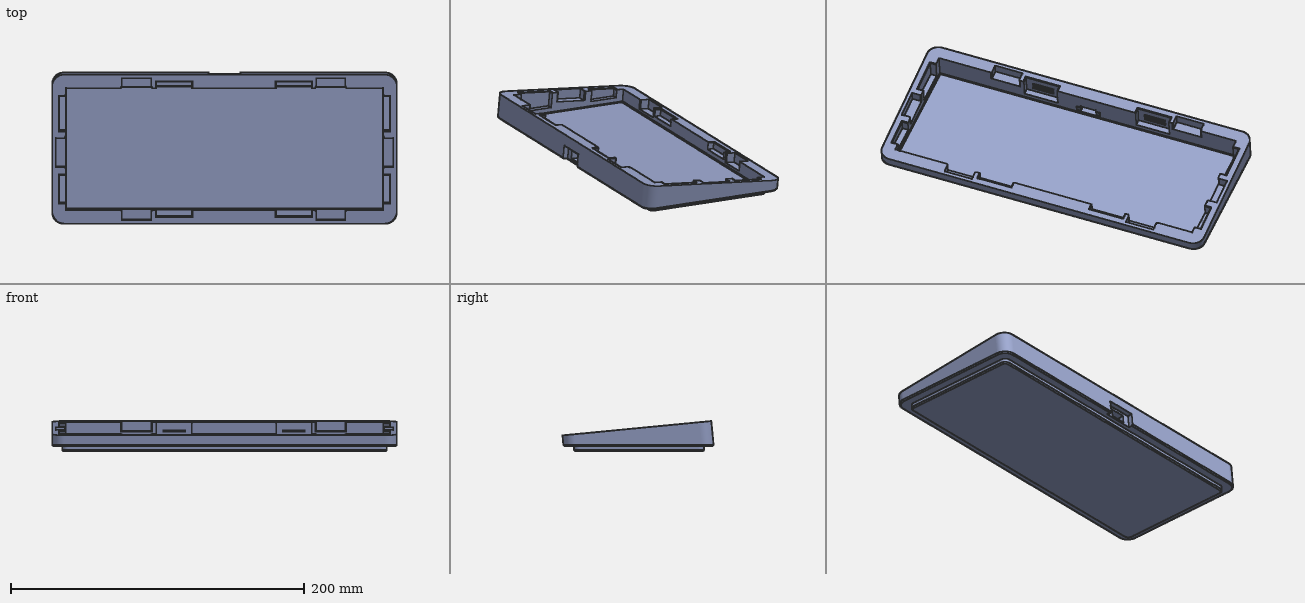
import cadquery as cq
import math

length = 235.0
width = 103.2
height = 20.7

slope = math.radians(5.5)
base_height = 3.5
frame_radius = 8.0
edge_chamfer = 1.0
wall_lean = (height - base_height - edge_chamfer) * math.tan(slope)
rim_width = (width - wall_lean) / math.cos(slope)
rim_plane = cq.Plane(
    origin=(0, -wall_lean / 2, height - rim_width * math.sin(slope) / 2),
    xDir=(1, 0, 0),
    normal=(0, -math.sin(slope), math.cos(slope)),
)
rim_half_x = length / 2
rim_half_v = rim_width / 2

plinth_half_x = 110.7
plinth_back_y = 45.1
plinth_front_y = -43.7
plinth_radius = 4.0

wall = 9.2
cavity_half_x = rim_half_x - wall
cavity_half_v = rim_half_v - wall
floor_z = 2.8
floor_chamfer = 0.59

tab_wall = 2.5
tab_depth = 6.5
tab_length = 20.0
tab_mouth_chamfer = 0.7
tab_centres_x = (-60.0, 72.4)
side_tab_centre_v = -2.4

clip_wall = 5.0
clip_depth = 13.2
clip_flare = 0.5
clip_floor_z = 6.5
clip_length = 24.2
clip_centres_x = (-34.3, 47.2)
side_clips = ((24.2, 23.7), (-27.3, 19.0))

groove_length = 15.0
groove_height = 1.0
groove_recess = 0.7
groove_depths = (6.3, 9.9)

port_width = 11.0
port_top = 9.9
port_bottom = 15.5
seat_width = 17.0
seat_top = 11.8
seat_recess = 0.7
plug_width = 21.6
plug_height = 10.0
plug_recess = 3.5


def sunk_box(x_range, v_range, bottom, top=0):
    """Box square to the rim plane, between two depths below it."""
    x0, x1 = x_range
    v0, v1 = v_range
    return (
        cq.Workplane(rim_plane)
        .workplane(offset=-bottom)
        .center((x0 + x1) / 2, (v0 + v1) / 2)
        .rect(x1 - x0, v1 - v0)
        .extrude(bottom - top)
    )


def around(centre, size):
    """Range of a given size about a centre."""
    return (centre - size / 2, centre + size / 2)


def above(z):
    """Half space above a horizontal level."""
    return cq.Workplane("XY", origin=(0, 0, z)).rect(2 * length, 2 * length).extrude(length)


def make_shell():
    """Solid frame on its plinth, hollowed by the cavity."""
    outline = cq.Sketch().rect(length, rim_width).vertices().fillet(frame_radius)
    frame = cq.Workplane(rim_plane).placeSketch(outline).extrude(-2 * height)
    frame = frame.intersect(above(base_height)).faces("<Z").chamfer(edge_chamfer)

    plinth = (
        cq.Workplane("XY")
        .center(0, (plinth_back_y + plinth_front_y) / 2)
        .rect(2 * plinth_half_x, plinth_back_y - plinth_front_y)
        .extrude(base_height)
        .edges("|Z")
        .fillet(plinth_radius)
        .faces("<Z")
        .chamfer(edge_chamfer)
    )

    cavity = sunk_box((-cavity_half_x, cavity_half_x), (-cavity_half_v, cavity_half_v), 2 * height)
    cavity = cavity.intersect(above(floor_z)).faces("<Z").chamfer(floor_chamfer)
    return frame.union(plinth).cut(cavity)


def make_mouth(centre, size_x, size_v):
    """Cutter over the cavity whose cut corners chamfer the mouths of a pair of tab pockets."""
    growth = 2 * tab_mouth_chamfer
    outline = cq.Sketch().rect(size_x + growth, size_v + growth).vertices().chamfer(tab_mouth_chamfer)
    return cq.Workplane(rim_plane).center(*centre).placeSketch(outline).extrude(-tab_depth)


def make_tab_pockets():
    """Tab pockets; each cutter spans the cavity to reach both opposite walls."""
    reach_x = rim_half_x - tab_wall
    reach_v = rim_half_v - tab_wall
    pockets = sunk_box((-reach_x, reach_x), around(side_tab_centre_v, tab_length), tab_depth)
    pockets = pockets.union(make_mouth((0, side_tab_centre_v), 2 * cavity_half_x, tab_length))
    for x in tab_centres_x:
        pockets = pockets.union(sunk_box(around(x, tab_length), (-reach_v, reach_v), tab_depth))
        pockets = pockets.union(make_mouth((x, 0), tab_length, 2 * cavity_half_v))
    return pockets


def make_clip_pocket(x_range, v_range):
    """Clip pocket cutter spanning the cavity, with a 45 degree flare around its top edge."""
    x0, x1 = x_range
    v0, v1 = v_range
    flare = (
        cq.Workplane(rim_plane)
        .center((x0 + x1) / 2, (v0 + v1) / 2)
        .rect(x1 - x0 + 2 * clip_flare, v1 - v0 + 2 * clip_flare)
        .extrude(-clip_flare, taper=45)
    )
    return sunk_box(x_range, v_range, clip_depth).union(flare)


def make_clip_pockets():
    """Clip pockets in all four walls, none deeper than the level clip floor."""
    reach_x = rim_half_x - clip_wall
    reach_v = rim_half_v - clip_wall
    pockets = cq.Workplane("XY")
    for centre_v, size in side_clips:
        pockets = pockets.add(make_clip_pocket((-reach_x, reach_x), around(centre_v, size)))
    for x in clip_centres_x:
        pockets = pockets.add(make_clip_pocket(around(x, clip_length), (-reach_v, reach_v)))
    return pockets.combine().intersect(above(clip_floor_z))


def make_catch_grooves():
    """Thin grooves cut into the back wall of the rear clip pockets."""
    wall_v = rim_half_v - clip_wall
    grooves = cq.Workplane("XY")
    for x in clip_centres_x:
        for depth in groove_depths:
            top, bottom = around(depth, groove_height)
            v_range = (cavity_half_v, wall_v + groove_recess)
            grooves = grooves.add(sunk_box(around(x, groove_length), v_range, bottom, top))
    return grooves.combine()


def make_cable_port():
    """Port through the back wall, with a connector seat inside and a plug recess outside, open below."""
    port = sunk_box(around(0, port_width), (cavity_half_v, rim_half_v), port_bottom, port_top)
    seat_range = (cavity_half_v, cavity_half_v + seat_recess)
    seat = sunk_box(around(0, seat_width), seat_range, port_bottom, seat_top)

    plug_top, plug_bottom = around((port_top + port_bottom) / 2, plug_height)
    plug_range = (rim_half_v - plug_recess, rim_half_v)
    plug = sunk_box(around(0, plug_width), plug_range, plug_bottom, plug_top)
    return port.union(seat).union(plug)


result = (
    make_shell()
    .cut(make_tab_pockets())
    .cut(make_clip_pockets())
    .cut(make_catch_grooves())
    .cut(make_cable_port())
)